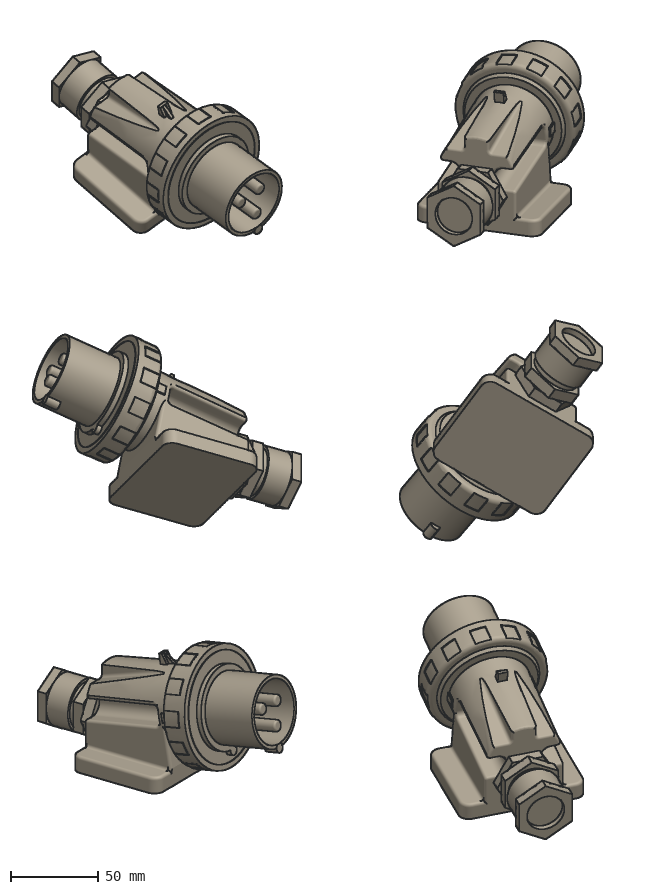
import cadquery as cq
import math

TILT = 10.0
GLAND_LENGTH = 38.1
GLAND_HEIGHT = 22.5
BACK_X = GLAND_LENGTH
AXIS_BACK_Z = 32.4
OVERLAP = 1.6

HEX_CORNER_DIA = 37.1
HEX_FLATS = HEX_CORNER_DIA * math.cos(math.pi / 6)
CAP_LENGTH = 6.0
SLEEVE_END = 21.0
NECK_DIA = 28.5
NECK_END = 24.8
NUT_END = 31.6
CABLE_HOLE_DIA = 22.5
CABLE_HOLE_DEPTH = 3.6

BASE_LENGTH = 60.2
BASE_WIDTH = 75.2
BASE_HEIGHT = 10.1
BASE_CORNER_R = 6.3
EDGE_R = 1.9
FOOT_R = 1.9
BACK_EDGE_R = 1.6
PEDESTAL_WIDTH = 47.7
PEDESTAL_FRONT = 55.6

BARREL_R = 24.5
BARREL_BACK_R = 23.7
BARREL_OVERRUN = 9.5
DISC_R = 33.0
DISC_END = 80.9
FLANGE_R = 25.3
FLANGE_END = 84.0
FLANGE_LUG_OUTER_R = 29.0
LUG_DIA = 6.0

SLEEVE_R = 21.5
SLEEVE_WALL = 2.2
PLUG_END = 117.3
PIN_DIA = 7.0
PIN_CIRCLE_R = 8.4
PIN_TIP_R = 1.3
EARTH_PIN_END = PLUG_END + 1.5
LIVE_PIN_END = PLUG_END - 1.6
KEY_START = 108.9
KEY_END = 117.5
KEY_OUTER_R = 24.8

GROOVE_R = 6.2
GROOVE_CENTRE_Y = 16.3
GROOVE_CENTRE_R = 0.3
GROOVE_END = 52.2
GROOVE_CORNER_R = 3.2
GROOVE_LIP_R = 1.7
GROOVE_OVERRUN = 19.0
LIP_BAND = 3.2
LIP_MARGIN = 0.2

NOTCH_SLOPE = 18.4
NOTCH_BACK_Z = 47.3
NOTCH_INNER_Y = 7.5
NOTCH_YAW = 2.2
NOTCH_ROOT_R = 2.0
NOTCH_REACH = 63.2

TAB_HALF_WIDTH = 25.3
TAB_TOP = 3.2
TAB_BOTTOM = -2.5

ARROW_START = 43.1
ARROW_PEAK = 45.2
ARROW_TOP_R = 30.7
ARROW_HEAD_END = 47.5
ARROW_TAIL_END = 51.4
ARROW_HEAD_WIDTH = 5.7
ARROW_TAIL_WIDTH = 2.0

COLLAR_START = 62.5
COLLAR_BACK_R = 29.4
COLLAR_R = 31.0
RING_START = 64.5
RING_END = 80.6
RING_R = 36.7
RING_BACK_FILLET = 3.0
RING_RECESS_DEPTH = 3.2
RECESS_FLOOR = RING_END - RING_RECESS_DEPTH
GRIP_COUNT = 12
GRIP_ANGLE = 15.0
GRIP_END = 76.0
GRIP_DEPTH = 0.6


def tilt(shape):
    """Move a shape from the barrel's own frame (axis along X) to its tilted place."""
    return shape.rotate((0, 0, 0), (0, 1, 0), -TILT).translate((BACK_X, 0, AXIS_BACK_Z))


def box(x_range, y_range, z_range):
    size = [high - low for low, high in (x_range, y_range, z_range)]
    return cq.Workplane("XY").box(*size, centered=False).translate((x_range[0], y_range[0], z_range[0]))


def rod(start, end, radius, y=0.0, z=0.0):
    """Cylinder parallel to X."""
    return cq.Workplane("YZ", origin=(start, 0, 0)).center(y, z).circle(radius).extrude(end - start)


def hexagon(start, end, turn):
    """Hexagonal length of the gland, with a corner at the top when turn is 90."""
    prism = cq.Workplane("YZ", origin=(start, 0, 0)).polygon(6, HEX_CORNER_DIA).extrude(end - start)
    return prism.rotate((0, 0, 0), (1, 0, 0), turn)


def make_gland():
    gland = hexagon(0, CAP_LENGTH, 90)
    gland = gland.union(rod(CAP_LENGTH, SLEEVE_END, HEX_FLATS / 2))
    gland = gland.union(rod(SLEEVE_END, NECK_END, NECK_DIA / 2))
    gland = gland.union(hexagon(NECK_END, NUT_END, 90))
    gland = gland.union(hexagon(NUT_END, GLAND_LENGTH, 0))
    gland = gland.cut(rod(0, CABLE_HOLE_DEPTH, CABLE_HOLE_DIA / 2))
    return gland.translate((0, 0, GLAND_HEIGHT))


def make_base():
    base = box((BACK_X, BACK_X + BASE_LENGTH), (-BASE_WIDTH / 2, BASE_WIDTH / 2), (0, BASE_HEIGHT))
    return base.edges("|Z").fillet(BASE_CORNER_R).faces(">Z").edges().fillet(EDGE_R)


def make_shell():
    """Pedestal and rear barrel with grooves and notches, trimmed at the back face and the base end."""
    half_width = PEDESTAL_WIDTH / 2
    pedestal = box((-GROOVE_OVERRUN, PEDESTAL_FRONT), (-half_width, half_width), (-2 * BARREL_R, 0))
    shell = pedestal.edges("|Z and >X").fillet(EDGE_R).union(make_barrel())
    for side in (-1, 1):
        shell = round_groove_lip(shell.cut(make_groove(side)), side)
    shell = tilt(shell)
    for side in (-1, 1):
        shell = shell.cut(make_notch(side))
    keep = box((BACK_X, BACK_X + 2 * BASE_LENGTH), (-BASE_WIDTH / 2, BASE_WIDTH / 2), (0, 4 * BARREL_R))
    base_end = BACK_X + BASE_LENGTH
    toe = box((base_end, BACK_X + 2 * BASE_LENGTH), (-half_width, half_width), (0, BASE_HEIGHT + EDGE_R))
    return shell.intersect(keep).cut(toe).faces("<X").edges("not <Z").fillet(BACK_EDGE_R)


def round_groove_lip(shell, side):
    """Round the mouth of one groove, whose edges lie near the outer side of the shell."""
    inner_y = side * (PEDESTAL_WIDTH / 2 - LIP_BAND)
    outer_y = side * (BARREL_R + LIP_BAND)
    low = GROOVE_CENTRE_R - GROOVE_R - LIP_MARGIN
    high = GROOVE_CENTRE_R + GROOVE_R + LIP_MARGIN
    mouth = cq.selectors.BoxSelector(
        (-BARREL_OVERRUN + LIP_MARGIN, inner_y, low),
        (GROOVE_END + LIP_MARGIN, outer_y, high),
    )
    return shell.edges(mouth).fillet(GROOVE_LIP_R)


def make_barrel():
    """Tapered rear barrel, overrunning the back face at the same small radius."""
    return (
        cq.Workplane("XY")
        .moveTo(-BARREL_OVERRUN, 0)
        .lineTo(-BARREL_OVERRUN, BARREL_BACK_R)
        .lineTo(0, BARREL_BACK_R)
        .lineTo(COLLAR_START, BARREL_R)
        .lineTo(COLLAR_START, 0)
        .close()
        .revolve(360, (0, 0, 0), (1, 0, 0))
    )


def make_groove(side):
    """Round-bottomed channel parallel to the barrel axis, open at the back and the side."""
    low = GROOVE_CENTRE_R - GROOVE_R
    high = GROOVE_CENTRE_R + GROOVE_R
    outer_y = 2 * BARREL_R
    channel = (
        cq.Workplane("YZ", origin=(-GROOVE_OVERRUN, 0, 0))
        .moveTo(outer_y, low)
        .lineTo(GROOVE_CENTRE_Y, low)
        .threePointArc((GROOVE_CENTRE_Y - GROOVE_R, GROOVE_CENTRE_R), (GROOVE_CENTRE_Y, high))
        .lineTo(outer_y, high)
        .close()
        .extrude(GROOVE_END + GROOVE_OVERRUN)
    )
    channel = channel.faces(">X").edges("|Y").fillet(GROOVE_CORNER_R)
    if side < 0:
        channel = channel.mirror("XZ")
    return channel


def make_notch(side):
    """Wedge whose floor climbs faster than the barrel and runs out of its surface."""
    block = box((-NOTCH_REACH, NOTCH_REACH), (NOTCH_INNER_Y, BARREL_R + OVERLAP), (0, BARREL_R))
    block = block.edges("|X and <Y and <Z").fillet(NOTCH_ROOT_R)
    block = block.rotate((0, 0, 0), (0, 0, 1), NOTCH_YAW)
    if side < 0:
        block = block.mirror("XZ")
    return block.rotate((0, 0, 0), (0, 1, 0), -NOTCH_SLOPE).translate((BACK_X, 0, NOTCH_BACK_Z))


def make_arrow():
    """Marker on top of the barrel: a wide head and a narrow tail sloping forwards."""
    arrow = None
    root = BARREL_R - OVERLAP
    for end, width in ((ARROW_HEAD_END, ARROW_HEAD_WIDTH), (ARROW_TAIL_END, ARROW_TAIL_WIDTH)):
        wedge = (
            cq.Workplane("XZ")
            .moveTo(ARROW_START, root)
            .lineTo(ARROW_START, ARROW_TOP_R)
            .lineTo(ARROW_PEAK, ARROW_TOP_R)
            .lineTo(end, BARREL_R)
            .lineTo(end, root)
            .close()
            .extrude(width / 2, both=True)
        )
        arrow = wedge if arrow is None else arrow.union(wedge)
    return arrow


def make_pins():
    pins = cq.Workplane("XY")
    for angle, end in ((-90, EARTH_PIN_END), (30, LIVE_PIN_END), (150, LIVE_PIN_END)):
        y = PIN_CIRCLE_R * math.cos(math.radians(angle))
        z = PIN_CIRCLE_R * math.sin(math.radians(angle))
        pins = pins.union(rod(RING_END, end, PIN_DIA / 2, y, z).faces(">X").edges().fillet(PIN_TIP_R))
    return pins


def lug(start, end, outer_r):
    """Round lug along the underside, reaching out to outer_r from the barrel axis."""
    return rod(start, end, LUG_DIA / 2, z=LUG_DIA / 2 - outer_r)


def make_plug():
    """Everything in front of the pedestal except the rear barrel, in the barrel's own frame."""
    plug = rod(COLLAR_START, RECESS_FLOOR, BARREL_R)
    plug = plug.union(rod(RECESS_FLOOR, DISC_END, DISC_R))
    plug = plug.union(rod(DISC_END, FLANGE_END, FLANGE_R))
    plug = plug.union(rod(FLANGE_END, PLUG_END, SLEEVE_R))
    tabs = box((PEDESTAL_FRONT, COLLAR_START), (-TAB_HALF_WIDTH, TAB_HALF_WIDTH), (TAB_BOTTOM, TAB_TOP))
    plug = plug.union(lug(DISC_END, FLANGE_END, FLANGE_LUG_OUTER_R))
    plug = plug.union(lug(KEY_START, KEY_END, KEY_OUTER_R))
    plug = plug.cut(rod(FLANGE_END, KEY_END, SLEEVE_R - SLEEVE_WALL))
    return plug.union(tabs).union(make_pins())


def make_foot_fillet(side):
    """Concave strip where one side of the pedestal meets the base."""
    wall_y = side * PEDESTAL_WIDTH / 2
    outer_y = wall_y + side * FOOT_R
    sunk_y = wall_y - side * FOOT_R
    sunk_z = BASE_HEIGHT - FOOT_R
    slack = FOOT_R * (1 - math.sqrt(0.5))
    return (
        cq.Workplane("YZ", origin=(BACK_X + BACK_EDGE_R, 0, 0))
        .moveTo(outer_y, BASE_HEIGHT)
        .threePointArc((wall_y + side * slack, BASE_HEIGHT + slack), (wall_y, BASE_HEIGHT + FOOT_R))
        .lineTo(sunk_y, BASE_HEIGHT + FOOT_R)
        .lineTo(sunk_y, sunk_z)
        .lineTo(outer_y, sunk_z)
        .close()
        .extrude(BASE_LENGTH - BACK_EDGE_R - EDGE_R)
    )


def make_housing():
    housing = make_shell().union(make_base())
    for side in (-1, 1):
        housing = housing.union(make_foot_fillet(side))
    return housing.union(tilt(make_plug())).union(tilt(make_arrow()))


def make_ring():
    grip = (
        cq.Workplane("XY")
        .moveTo(RING_START, RING_R - GRIP_DEPTH)
        .lineTo(RING_START, RING_R + OVERLAP)
        .lineTo(GRIP_END, RING_R + OVERLAP)
        .lineTo(GRIP_END, RING_R - GRIP_DEPTH)
        .close()
        .revolve(GRIP_ANGLE, (0, 0, 0), (1, 0, 0))
    )
    ring = (
        cq.Workplane("XY")
        .moveTo(COLLAR_START, BARREL_R)
        .lineTo(COLLAR_START, COLLAR_BACK_R)
        .lineTo(RING_START, COLLAR_R)
        .lineTo(RING_START, RING_R - RING_BACK_FILLET)
        .radiusArc((RING_START + RING_BACK_FILLET, RING_R), RING_BACK_FILLET)
        .lineTo(RING_END, RING_R)
        .lineTo(RING_END, DISC_R)
        .lineTo(RECESS_FLOOR, DISC_R)
        .lineTo(RECESS_FLOOR, BARREL_R)
        .close()
        .revolve(360, (0, 0, 0), (1, 0, 0))
    )
    for index in range(GRIP_COUNT):
        ring = ring.cut(grip.rotate((0, 0, 0), (1, 0, 0), index * 360 / GRIP_COUNT - GRIP_ANGLE))
    return tilt(ring)


gland = make_gland()
housing = make_housing()
ring = make_ring()
result = cq.Compound.makeCompound([body.solids().val() for body in (gland, housing, ring)])